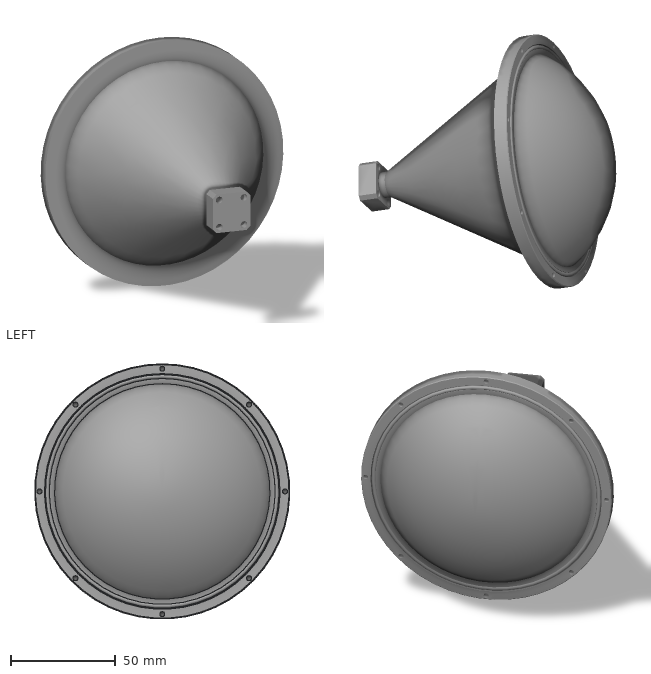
import cadquery as cq
import math


overall_length = 124

flange_diameter = 121.9
flange_thickness = 6.5
flange_edge_chamfer = 0.4
cone_base_radius = 50.7
neck_radius = 6.2
neck_start = 84.3
neck_length = 3.1

screw_count = 8
screw_circle_radius = 58.7
screw_diameter = 2.4
screw_depth = 4.3
drill_point_angle = 118

dome_radius = 51.5
dome_height = 27.7
lens_rim_radius = 54.0

ring_section_radius = 0.93
ring_protrusion = 0.4
ring_gap = 0.5
ring_center_radius = lens_rim_radius + ring_section_radius
seat_radius = ring_center_radius + ring_section_radius + ring_gap
ring_center_x = ring_section_radius - ring_protrusion
lens_seat_depth = ring_center_x + ring_section_radius

block_width = 19.1
block_corner_chamfer = 1.9
block_start = neck_start + neck_length
block_thickness = overall_length - dome_height - block_start
block_hole_spacing_y = 12.7
block_hole_spacing_z = 13.5
block_hole_diameter = 3.3


def revolve_about_x(profile):
    """Turn a profile, drawn as (x, radius), a full turn about the X axis."""
    return profile.close().revolve(360, (0, 0, 0), (1, 0, 0))


def make_screw_hole_cutter():
    """A blind drilled hole with a conical bottom, on the X axis."""
    radius = screw_diameter / 2
    point_length = radius / math.tan(math.radians(drill_point_angle / 2))
    return revolve_about_x(
        cq.Workplane("XZ")
        .lineTo(0, radius)
        .lineTo(screw_depth, radius)
        .lineTo(screw_depth + point_length, 0)
    )


def make_horn():
    """Solid horn with the lens seat and the circle of screw holes in its front face."""
    flange_radius = flange_diameter / 2
    horn = revolve_about_x(
        cq.Workplane("XZ")
        .moveTo(lens_seat_depth, 0)
        .lineTo(lens_seat_depth, seat_radius)
        .lineTo(0, seat_radius)
        .lineTo(0, flange_radius - flange_edge_chamfer)
        .lineTo(flange_edge_chamfer, flange_radius)
        .lineTo(flange_thickness, flange_radius)
        .lineTo(flange_thickness, cone_base_radius)
        .lineTo(neck_start, neck_radius)
        .lineTo(block_start, neck_radius)
        .lineTo(block_start, 0)
    )
    cutter = make_screw_hole_cutter().translate((0, 0, screw_circle_radius))
    for index in range(screw_count):
        angle = index * 360 / screw_count
        horn = horn.cut(cutter.rotate((0, 0, 0), (1, 0, 0), angle))
    return horn


def make_lens():
    """Spherical dome on a thin disc that fills the seat up to the sealing ring."""
    sphere_radius = (dome_radius**2 + dome_height**2) / (2 * dome_height)
    half_angle = math.asin(dome_radius / sphere_radius) / 2
    arc_middle_x = sphere_radius * (1 - math.cos(half_angle)) - dome_height
    arc_middle_radius = sphere_radius * math.sin(half_angle)
    return revolve_about_x(
        cq.Workplane("XZ")
        .moveTo(-dome_height, 0)
        .threePointArc((arc_middle_x, arc_middle_radius), (0, dome_radius))
        .lineTo(0, lens_rim_radius)
        .lineTo(lens_seat_depth, lens_rim_radius)
        .lineTo(lens_seat_depth, 0)
    )


def make_sealing_ring():
    """Round-section ring that stands slightly proud of the flange face."""
    return (
        cq.Workplane("XZ")
        .center(ring_center_x, ring_center_radius)
        .circle(ring_section_radius)
        .revolve(360, (0, -ring_center_radius, 0), (1, -ring_center_radius, 0))
    )


def make_waveguide_flange():
    """Square block with chamfered corners and four through holes."""
    return (
        cq.Workplane("YZ", origin=(block_start, 0, 0))
        .rect(block_width, block_width)
        .extrude(block_thickness)
        .edges("|X")
        .chamfer(block_corner_chamfer)
        .faces("<X")
        .workplane(origin=(block_start, 0, 0))
        .rect(block_hole_spacing_y, block_hole_spacing_z, forConstruction=True)
        .vertices()
        .hole(block_hole_diameter)
    )


horn = make_horn()
lens = make_lens()
sealing_ring = make_sealing_ring()
waveguide_flange = make_waveguide_flange()

result = cq.Compound.makeCompound(
    [horn.val(), lens.val(), sealing_ring.val(), waveguide_flange.val()]
)